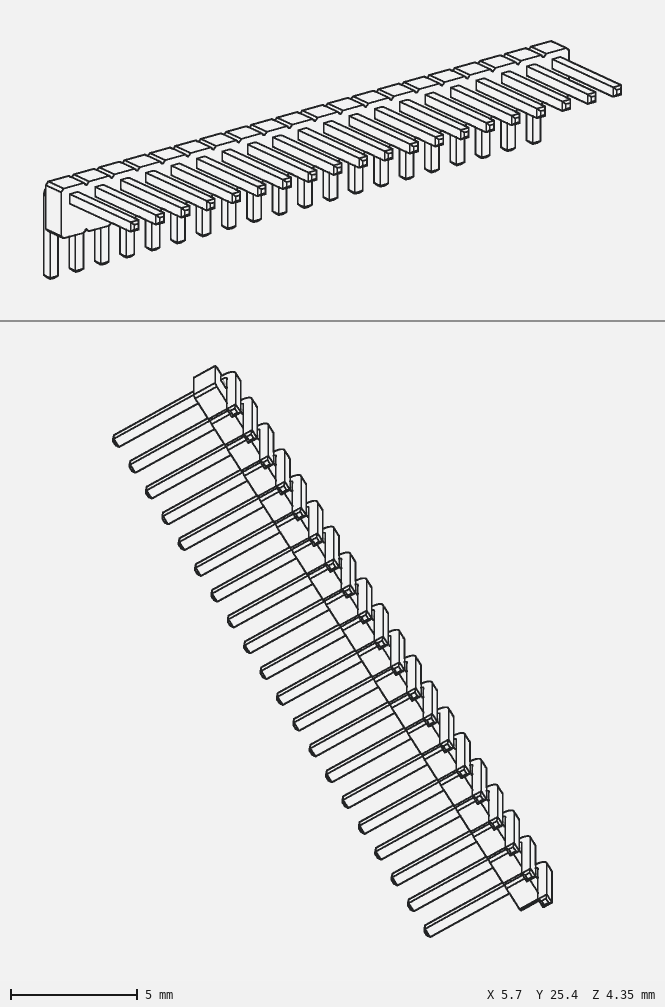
import cadquery as cq

pin_count = 20
pitch = 1.27
total_width = 5.7
total_height = 4.35

body_width = 1.0
body_height = 2.1
body_chamfer = 0.13

pin_size = 0.4
pin_drop = 0.3
pin_setback = 0.69
bend_inner_radius = 0.2
tip_length = 0.1
tip_size = 0.2

row_start = -pitch * (pin_count - 1) / 2
pin_axis_z = -pin_drop - pin_size / 2
leg_axis_x = pin_size / 2
bend_radius = bend_inner_radius + pin_size / 2
bend_center_x = leg_axis_x + bend_radius
bend_center_z = pin_axis_z - bend_radius
tail_end_x = total_width - tip_length
leg_end_z = -total_height + tip_length


def housing_block(y):
    """Housing segment around one pin, chamfered along its four X edges."""
    return (
        cq.Workplane("XY")
        .box(body_width, pitch, body_height)
        .edges("|X")
        .chamfer(body_chamfer)
        .translate((pin_setback + body_width / 2, y, -body_height / 2))
    )


def tapered_tip(start, direction):
    """Pyramid frustum ending a pin, growing from start along direction."""
    plane = cq.Plane(origin=start, xDir=(0, 1, 0), normal=direction)
    return (
        cq.Workplane(plane)
        .rect(pin_size, pin_size)
        .workplane(offset=tip_length)
        .rect(tip_size, tip_size)
        .loft(ruled=True)
    )


def bent_pin(y):
    """Square wire with a vertical leg, a round bend and a horizontal tail."""
    outer_radius = bend_inner_radius + pin_size
    top_z = pin_axis_z + pin_size / 2
    bottom_z = pin_axis_z - pin_size / 2
    wire = (
        cq.Workplane("XZ", origin=(0, y, 0))
        .moveTo(0, leg_end_z)
        .lineTo(0, bend_center_z)
        .radiusArc((bend_center_x, top_z), outer_radius)
        .lineTo(tail_end_x, top_z)
        .lineTo(tail_end_x, bottom_z)
        .lineTo(bend_center_x, bottom_z)
        .radiusArc((pin_size, bend_center_z), -bend_inner_radius)
        .lineTo(pin_size, leg_end_z)
        .close()
        .extrude(pin_size / 2, both=True)
    )
    tail_tip = tapered_tip((tail_end_x, y, pin_axis_z), (1, 0, 0))
    leg_tip = tapered_tip((leg_axis_x, y, leg_end_z), (0, 0, -1))
    return wire.union(tail_tip).union(leg_tip)


result = None
for index in range(pin_count):
    pin_y = row_start + index * pitch
    segment = housing_block(pin_y).union(bent_pin(pin_y))
    result = segment if result is None else result.union(segment)